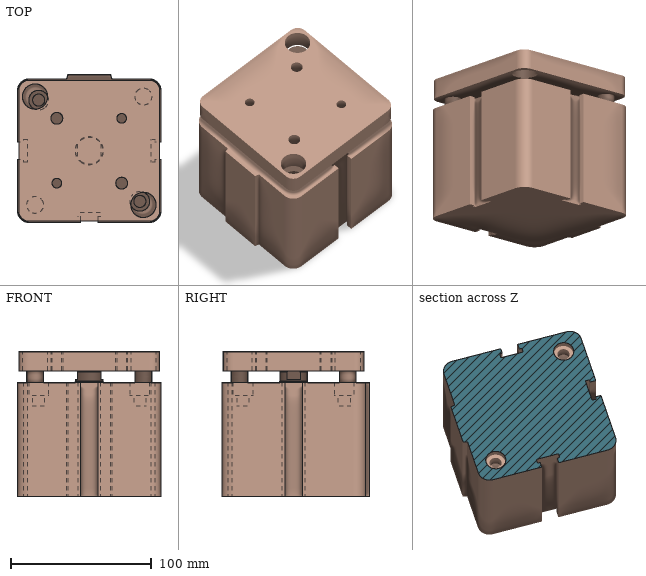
import cadquery as cq

housing_width = 102.0
housing_height = 81.0
housing_corner_radius = 8.5
slot_width = 12.3
slot_lip_depth = 4.3
slot_depth = 7.1
slot_head_width = 16.2
key_base_width = 32.1
key_tip_width = 30.5
key_height = 3.0
mount_spacing = 71.8
mount_hole_diameter = 8.6
mount_counterbore_diameter = 14.0
mount_counterbore_depth = 9.0
mount_hole_depth = 16.6

plate_width = 100.0
plate_thickness = 14.0
plate_corner_radius = 7.0
plate_gap = 8.1
post_spacing = 76.9
post_diameter = 12.0
access_hole_diameter = 18.0
tooling_spacing = 46.0
dowel_hole_diameter = 8.4
screw_hole_diameter = 6.8
rod_diameter = 19.5
rod_foot_diameter = 20.0
rod_flat_width = 17.0
rod_flat_start = 2.2
rod_foot_height = 0.47
rod_bevel_height = 0.58

plate_bottom = housing_height + plate_gap


def diagonal_pair(spacing, side):
    """Two opposite corners of a square: side 1 for (-,-) and (+,+), side -1 for (-,+) and (+,-)."""
    half = spacing / 2
    return [(-half, -side * half), (half, side * half)]


def rounded_block(width, height, radius, bottom):
    """Square block with rounded vertical edges, standing on the level `bottom`."""
    return (
        cq.Workplane("XY")
        .workplane(offset=bottom)
        .rect(width, width)
        .extrude(height)
        .edges("|Z")
        .fillet(radius)
    )


def t_slot():
    """Full-height T-slot cutter for the -Y face."""
    face = -housing_width / 2
    head_depth = slot_depth - slot_lip_depth
    centred_on_x = (True, False, False)
    neck = cq.Workplane("XY").box(slot_width, slot_depth, housing_height, centered=centred_on_x)
    head = (
        cq.Workplane("XY")
        .box(slot_head_width, head_depth, housing_height, centered=centred_on_x)
        .translate((0, slot_lip_depth, 0))
    )
    return neck.union(head).translate((0, face, 0))


def mounting_key():
    """Full-height tapered rib on the +Y face."""
    face = housing_width / 2
    tip = face + key_height
    return (
        cq.Workplane("XY")
        .polyline([
            (-key_base_width / 2, face),
            (key_base_width / 2, face),
            (key_tip_width / 2, tip),
            (-key_tip_width / 2, tip),
        ])
        .close()
        .extrude(housing_height)
    )


def make_housing():
    block = rounded_block(housing_width, housing_height, housing_corner_radius, 0)
    block = block.union(mounting_key())
    for angle in (-90, 0, 90):
        block = block.cut(t_slot().rotate((0, 0, 0), (0, 0, 1), angle))
    return (
        block.faces(">Z")
        .workplane(origin=(0, 0, housing_height))
        .pushPoints(diagonal_pair(mount_spacing, -1))
        .cboreHole(
            mount_hole_diameter,
            mount_counterbore_diameter,
            mount_counterbore_depth,
            mount_hole_depth,
        )
    )


def make_plate():
    """Plate with two access holes and four tooling holes, all through."""
    plate = rounded_block(plate_width, plate_thickness, plate_corner_radius, plate_bottom)
    hole_pairs = [
        (post_spacing, -1, access_hole_diameter),
        (tooling_spacing, -1, dowel_hole_diameter),
        (tooling_spacing, 1, screw_hole_diameter),
    ]
    for spacing, side, diameter in hole_pairs:
        plate = (
            plate.faces(">Z")
            .workplane(origin=(0, 0, 0))
            .pushPoints(diagonal_pair(spacing, side))
            .hole(diameter)
        )
    return plate


def make_posts():
    return (
        cq.Workplane("XY")
        .workplane(offset=housing_height)
        .pushPoints(diagonal_pair(post_spacing, 1))
        .circle(post_diameter / 2)
        .extrude(plate_gap)
    )


def make_rod():
    """Turned rod with a wider bevelled foot, a bevelled top edge and two wrench flats facing -X and +X."""
    rod_radius = rod_diameter / 2
    foot_radius = rod_foot_diameter / 2
    bevel_inset = foot_radius - rod_radius
    rod = (
        cq.Workplane("XZ")
        .polyline([
            (0, 0),
            (foot_radius, 0),
            (foot_radius, rod_foot_height),
            (rod_radius, rod_foot_height + rod_bevel_height),
            (rod_radius, plate_gap - rod_bevel_height),
            (rod_radius - bevel_inset, plate_gap),
            (0, plate_gap),
        ])
        .close()
        .revolve(360, (0, 0, 0), (0, 1, 0))
    )
    flats = (
        cq.Workplane("XY")
        .workplane(offset=rod_flat_start)
        .rect(rod_foot_diameter, rod_foot_diameter)
        .rect(rod_flat_width, rod_foot_diameter)
        .extrude(plate_gap - rod_flat_start)
    )
    return rod.cut(flats).translate((0, 0, housing_height))


def make_slide():
    return make_plate().union(make_posts()).union(make_rod())


housing = make_housing()
slide = make_slide()

result = cq.Compound.makeCompound([housing.val(), slide.val()])